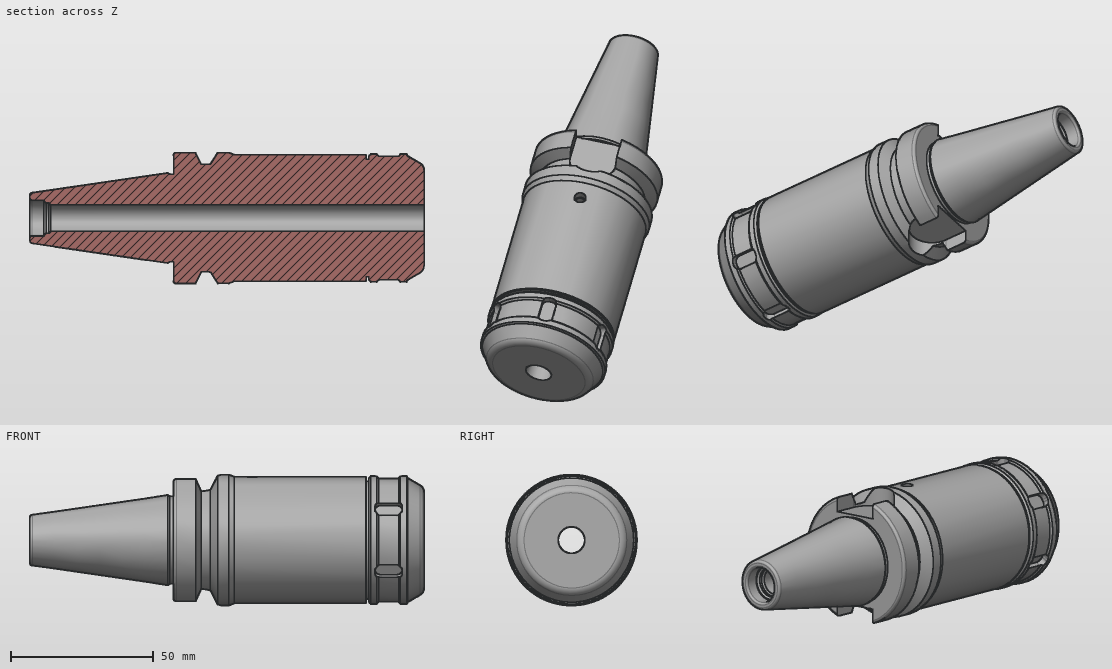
import cadquery as cq
import math


gauge_diameter = 31.75
taper_length = 48.4
taper_ratio = 7 / 24
shank_end_fillet = 1.0
relief_diameter = 30.8
relief_start = 0.8

flange_diameter = 46.0
flange_start = 2.0
flange_fillet = 1.0
front_collar_end = 9.8
groove_diameter = 38.0
groove_start = 11.8
groove_end = 15.0
rear_collar_start = 17.5
rear_collar_end = 21.5

body_diameter = 44.5
body_start = 23.4
body_end = 69.7
body_edge_chamfer = 0.3
neck_diameter = 41.4
neck_end = 70.5

nut_diameter = 45.0
nut_waist_diameter = 43.6
nut_edge_chamfer = 0.8
rear_band_end = 73.3
waist_start = 74.0
waist_end = 81.0
front_band_start = 81.6
front_band_end = 83.8
nose_lip_diameter = 43.6
nose_lip_end = 84.2
nose_cone_angle = 30.0
nose_end = 90.0
nose_fillet = 3.0

keyway_width = 16.5
keyway_floor = 16.3
keyway_end = 18.8

slot_count = 6
slot_width = 5.0
slot_length = 9.6
slot_center = 77.5
slot_floor_diameter = 39.8
slot_corner_radius = 2.0

screw_x = 29.7
screw_hole_diameter = 4.0
screw_hole_lower_diameter = 3.4
screw_hole_upper_depth = 3.0

through_diameter = 9.2
entry_diameter = 12.5
mouth_fillet = 0.75
entry_depth = 5.0
countersink_diameter = 12.0
thread_diameter = 10.5
thread_length = 1.0


def body_of_revolution():
    shank_end = -taper_length
    shank_end_r = (gauge_diameter - taper_length * taper_ratio) / 2
    flange_r = flange_diameter / 2
    body_r = body_diameter / 2
    nut_r = nut_diameter / 2
    neck_r = neck_diameter / 2
    nose_drop = (nose_end - nose_lip_end) * math.tan(math.radians(nose_cone_angle))
    nose_face_radius = nose_lip_diameter / 2 - nose_drop
    arc_inset = flange_fillet * (1 - math.sqrt(0.5))
    shank = [
        (shank_end, 0),
        (shank_end, shank_end_r),
        (0, gauge_diameter / 2),
        (relief_start, relief_diameter / 2),
        (flange_start, relief_diameter / 2),
        (flange_start, flange_r - flange_fillet),
    ]
    flange_arc_middle = (flange_start + arc_inset, flange_r - arc_inset)
    flange_arc_end = (flange_start + flange_fillet, flange_r)
    body_and_nut = [
        (front_collar_end, flange_r),
        (groove_start, groove_diameter / 2),
        (groove_end, groove_diameter / 2),
        (rear_collar_start, flange_r),
        (rear_collar_end, flange_r),
        (body_start, body_r),
        (body_end - body_edge_chamfer, body_r),
        (body_end, body_r - body_edge_chamfer),
        (body_end, neck_r),
        (neck_end, neck_r),
        (neck_end, nut_r - nut_edge_chamfer),
        (neck_end + nut_edge_chamfer, nut_r),
        (rear_band_end, nut_r),
        (waist_start, nut_waist_diameter / 2),
        (waist_end, nut_waist_diameter / 2),
        (front_band_start, nut_r),
        (front_band_end, nut_r),
        (nose_lip_end, nose_lip_diameter / 2),
        (nose_end, nose_face_radius),
        (nose_end, 0),
    ]
    solid = (
        cq.Workplane("XY")
        .polyline(shank)
        .threePointArc(flange_arc_middle, flange_arc_end)
        .polyline(body_and_nut, includeCurrent=True)
        .close()
        .revolve(360, (0, 0, 0), (1, 0, 0))
    )
    solid = solid.faces("<X").edges().fillet(shank_end_fillet)
    return solid.faces(">X").edges().fillet(nose_fillet)


def bore():
    shank_end = -taper_length
    entry_end = shank_end + entry_depth
    thread_r = thread_diameter / 2
    countersink_r = countersink_diameter / 2
    through_r = through_diameter / 2
    thread_start = entry_end + countersink_r - thread_r
    thread_end = thread_start + thread_length
    through_start = thread_end + thread_r - through_r
    profile = [
        (shank_end, 0),
        (shank_end, entry_diameter / 2),
        (entry_end, entry_diameter / 2),
        (entry_end, countersink_r),
        (thread_start, thread_r),
        (thread_end, thread_r),
        (through_start, through_r),
        (nose_end, through_r),
        (nose_end, 0),
    ]
    return cq.Workplane("XY").polyline(profile).close().revolve(360, (0, 0, 0), (1, 0, 0))


def keyway():
    round_center = keyway_end - keyway_width / 2
    height = flange_diameter / 2
    straight = (
        cq.Workplane("XY", origin=(0, 0, keyway_floor))
        .rect(2 * round_center, keyway_width)
        .extrude(height)
    )
    rounded = (
        cq.Workplane("XY", origin=(round_center, 0, keyway_floor))
        .circle(keyway_width / 2)
        .extrude(height)
    )
    return straight.union(rounded)


def spanner_slot():
    return (
        cq.Workplane("XY", origin=(slot_center, 0, slot_floor_diameter / 2))
        .rect(slot_length, slot_width)
        .extrude(nut_diameter / 2)
        .edges("|Z")
        .fillet(slot_corner_radius)
    )


def screw_hole():
    step_height = body_diameter / 2 - screw_hole_upper_depth
    lower_hole = (
        cq.Workplane("XY", origin=(screw_x, 0, 0))
        .circle(screw_hole_lower_diameter / 2)
        .extrude(step_height)
    )
    upper_hole = (
        cq.Workplane("XY", origin=(screw_x, 0, step_height))
        .circle(screw_hole_diameter / 2)
        .extrude(body_diameter / 2)
    )
    return lower_hole.union(upper_hole)


def about_x(shape, angle):
    return shape.rotate((0, 0, 0), (1, 0, 0), angle)


result = body_of_revolution().cut(bore())
bore_mouth = cq.selectors.RadiusNthSelector(0)
result = result.faces("<X").edges(bore_mouth).fillet(mouth_fillet)
for side_angle in (0, 180):
    result = result.cut(about_x(keyway(), side_angle))
for slot_index in range(slot_count):
    result = result.cut(about_x(spanner_slot(), slot_index * 360 / slot_count))
result = result.cut(screw_hole())